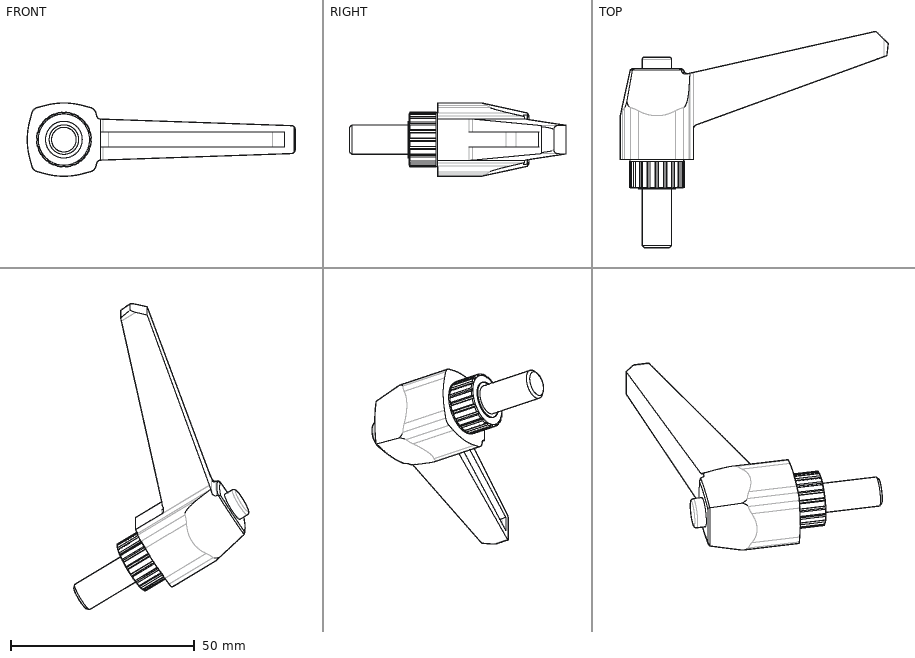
import cadquery as cq
import math


hub_half = 10.0
hub_height = 24.9
side_arc_half = 5.05
side_slope = 15
corner_radius = 2.2
taper_angle = 12.2
taper_start = 12.0
facet_radius = 35.05
top_chamfer_height = 0.45
top_chamfer_width = 0.65
blend_radius = 1.0

root_half_width = 5.6
tip_half_width = 3.8
root_top = 23.8
root_bottom = 9.2
tip_peak = (59.6, 35.0)
tip_nose = (63.0, 31.6)
tip_heel = (62.6, 28.3)
tip_edge_radius = 1.2

slot_width = 4.1
slot_roof = 3.0
slot_end = 60.1
slot_corner_radius = 2.7

insert_diameter = 15.0
insert_height = 7.75
insert_chamfer_height = 0.2
insert_chamfer_width = 0.5
collar_diameter = 14.75
collar_height = 0.45
groove_count = 20
groove_width = 0.95
groove_floor_width = 0.5
groove_depth = 0.45
seat_diameter = 10.0
seat_height = 0.3
stud_diameter = 8.0
stud_bottom = -24.0
stud_top = 27.95
stud_chamfer = 0.65
stud_top_radius = 0.65

BIG = 146.0


def arm_top(x):
    """Height of the arm's sloping upper face at x, also continued beyond the arm."""
    slope = (tip_peak[1] - root_top) / (tip_peak[0] - hub_half)
    return root_top + (x - hub_half) * slope


def disc(diameter, bottom, top):
    """Cylinder about Y between two heights."""
    return cq.Workplane("XZ", origin=(0, top, 0)).circle(diameter / 2).extrude(top - bottom)


def across(points):
    """Prism of an XY outline, wider in Z than the part."""
    return cq.Workplane("XY").polyline(points).close().extrude(BIG / 2, both=True)


def edge_at(body, point):
    """The edge of a body whose centre is nearest to a point."""
    return body.edges(cq.selectors.NearestToPointSelector(point))


def quarter_turned(u, v, quarter):
    """Point of the hub outline after a number of clockwise quarter turns."""
    for _ in range(quarter):
        u, v = v, -u
    return (u, v)


def hub_prism():
    """Square with four equal bulged sides and rounded corners."""
    slope = math.radians(side_slope)
    arc_radius = side_arc_half / math.sin(slope)
    arc_end = hub_half - arc_radius * (1 - math.cos(slope))
    corner = (arc_end + side_arc_half * math.tan(slope)) / (1 + math.tan(slope))

    profile = cq.Workplane("XZ", origin=(0, hub_height, 0)).moveTo(-corner, corner)
    for quarter in range(4):
        profile = (
            profile.lineTo(*quarter_turned(-side_arc_half, arc_end, quarter))
            .threePointArc(
                quarter_turned(0, hub_half, quarter),
                quarter_turned(side_arc_half, arc_end, quarter),
            )
            .lineTo(*quarter_turned(corner, corner, quarter))
        )
    prism = profile.close().extrude(hub_height)
    for quarter in range(4):
        x, z = quarter_turned(corner, corner, quarter)
        prism = edge_at(prism, (x, hub_height / 2, z)).fillet(corner_radius)
    return prism


def root_block():
    """Full-height block from the axis to the flat outer face that carries the arm."""
    return (
        cq.Workplane("XZ", origin=(hub_half / 2, hub_height, 0))
        .rect(hub_half, 2 * root_half_width)
        .extrude(hub_height)
    )


def facet_body(turn):
    """Leaning cylinder whose outer line is the middle of one facet; turn 0 faces +Z."""
    body = (
        cq.Workplane("XZ", origin=(0, BIG / 2, 0))
        .center(0, -facet_radius)
        .circle(facet_radius)
        .extrude(BIG)
        .rotate((0, 0, 0), (1, 0, 0), -taper_angle)
        .translate((0, taper_start, hub_half))
    )
    return body.rotate((0, 0, 0), (0, 1, 0), turn)


def make_hub():
    hub = hub_prism().union(root_block())
    side_drop = (root_half_width - side_arc_half) * math.tan(math.radians(side_slope))
    crease_x = hub_half - side_arc_half * math.tan(math.radians(side_slope / 2)) - side_drop
    for crease_z in (-root_half_width, root_half_width):
        hub = edge_at(hub, (crease_x, hub_height / 2, crease_z)).fillet(blend_radius)
    for turn in (0, 180, -90):
        hub = hub.intersect(facet_body(turn))
    above_arm = across([
        (0, arm_top(0)),
        (BIG, arm_top(BIG)),
        (BIG, BIG),
        (0, BIG),
    ])
    hub = hub.cut(above_arm.cut(facet_body(90)))
    return hub.faces(">Y").edges().chamfer(top_chamfer_width, top_chamfer_height)


def make_arm():
    side = across([(hub_half, root_bottom), tip_heel, tip_nose, tip_peak, (hub_half, root_top)])
    plan = (
        cq.Workplane("XZ", origin=(0, BIG, 0))
        .polyline([
            (hub_half, -root_half_width),
            (tip_nose[0], -tip_half_width),
            (tip_nose[0], tip_half_width),
            (hub_half, root_half_width),
        ])
        .close()
        .extrude(BIG)
        .edges("|Y and >X")
        .fillet(tip_edge_radius)
    )
    return side.intersect(plan)


def make_slot():
    return (
        cq.Workplane("XY")
        .polyline([
            (hub_half, 0),
            (slot_end, 0),
            (slot_end, arm_top(slot_end) - slot_roof),
            (hub_half, arm_top(hub_half) - slot_roof),
        ])
        .close()
        .extrude(slot_width / 2, both=True)
        .edges("|Z")
        .edges(">Y or <X")
        .fillet(slot_corner_radius)
    )


def make_insert():
    body = disc(insert_diameter, -insert_height, -collar_height)
    body = body.faces("<Y").edges().chamfer(insert_chamfer_height, insert_chamfer_width)
    rim = insert_diameter / 2
    flare = (groove_width - groove_floor_width) / 2
    groove = (
        cq.Workplane("XZ", origin=(0, -collar_height, 0))
        .polyline([
            (-groove_floor_width / 2, rim - groove_depth),
            (groove_floor_width / 2, rim - groove_depth),
            (groove_width / 2 + flare, rim + groove_depth),
            (-groove_width / 2 - flare, rim + groove_depth),
        ])
        .close()
        .extrude(insert_height)
    )
    for index in range(groove_count):
        body = body.cut(groove.rotate((0, 0, 0), (0, 1, 0), 360 / groove_count * index))
    collar = disc(collar_diameter, -collar_height, 0)
    return body.union(collar).union(disc(seat_diameter, -insert_height - seat_height, 0))


def make_stud():
    stud = disc(stud_diameter, stud_bottom, stud_top)
    stud = stud.faces("<Y").edges().chamfer(stud_chamfer)
    return stud.faces(">Y").edges().fillet(stud_top_radius)


def blend_arm(lever):
    """Round the inner corners above and below the arm where it leaves the hub."""
    lean = math.tan(math.radians(taper_angle))
    notch_x = hub_half - (arm_top(hub_half) - taper_start) * lean
    lever = edge_at(lever, (notch_x, arm_top(notch_x), 0)).fillet(blend_radius)
    return edge_at(lever, (hub_half, root_bottom, 0)).fillet(blend_radius)


lever = blend_arm(make_hub().union(make_arm()))
lever = lever.cut(make_slot())
result = lever.union(make_insert()).union(make_stud())